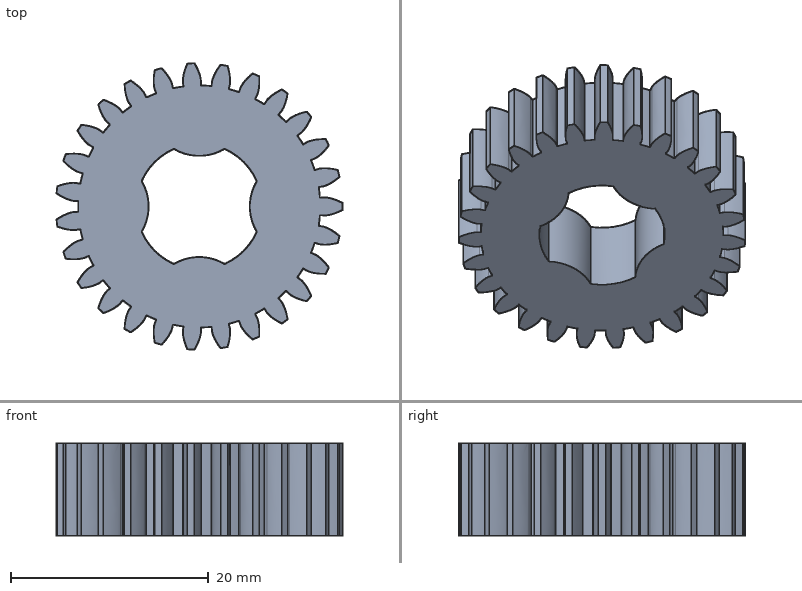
import cadquery as cq
import math

tooth_count = 27
pressure_angle = math.radians(20)
addendum_in_modules = 1.0
dedendum_in_modules = 1.25
flank_point_count = 8

overall_length = 28.98
face_width = 9.4

bore_radius = 6.35
key_count = 4
key_tip_distance = 5.1
key_nose_radius = 4.98


def involute(angle):
    return math.tan(angle) - angle


tooth_pitch_angle = 2 * math.pi / tooth_count
base_half_angle = tooth_pitch_angle / 4 + involute(pressure_angle)
base_to_tip_ratio = tooth_count * math.cos(pressure_angle) / (tooth_count + 2 * addendum_in_modules)
tip_half_angle = base_half_angle - involute(math.acos(base_to_tip_ratio))

tip_corner_offset = tooth_pitch_angle / 4 - tip_half_angle
tip_radius = overall_length / 2 / math.cos(tip_corner_offset)
module = 2 * tip_radius / (tooth_count + 2 * addendum_in_modules)
root_radius = module * (tooth_count / 2 - dedendum_in_modules)
base_radius = tip_radius * base_to_tip_ratio


def polar(radius, angle):
    return (radius * math.cos(angle), radius * math.sin(angle))


def flank_points(tooth_angle, side):
    """Involute from base circle to tip; side is -1 for the clockwise flank, 1 for the other."""
    points = []
    for i in range(flank_point_count):
        radius = base_radius + (tip_radius - base_radius) * i / (flank_point_count - 1)
        half_angle = base_half_angle - involute(math.acos(min(1.0, base_radius / radius)))
        points.append(polar(radius, tooth_angle + side * half_angle))
    return points


def gear_blank():
    """Solid gear with one tooth centred on +X; flanks run radially below the base circle."""
    outline = cq.Workplane("XY").moveTo(*polar(root_radius, -base_half_angle))
    for i in range(tooth_count):
        tooth_angle = i * tooth_pitch_angle
        rising_flank = flank_points(tooth_angle, -1)
        falling_flank = flank_points(tooth_angle, 1)[::-1]
        next_tooth_start = tooth_angle + tooth_pitch_angle - base_half_angle
        outline = (
            outline.lineTo(*rising_flank[0])
            .spline(rising_flank[1:], includeCurrent=True)
            .threePointArc(polar(tip_radius, tooth_angle), falling_flank[0])
            .spline(falling_flank[1:], includeCurrent=True)
            .lineTo(*polar(root_radius, tooth_angle + base_half_angle))
            .threePointArc(
                polar(root_radius, tooth_angle + tooth_pitch_angle / 2),
                polar(root_radius, next_tooth_start),
            )
        )
    return outline.close().extrude(face_width)


def keyed_bore():
    """Cutter for the bore, with the four keys left standing in the gear."""
    bore = cq.Workplane("XY").circle(bore_radius).extrude(face_width)
    key_noses = (
        cq.Workplane("XY")
        .polarArray(key_tip_distance + key_nose_radius, 0, 360, key_count)
        .circle(key_nose_radius)
        .extrude(face_width)
    )
    return bore.cut(key_noses)


result = gear_blank().cut(keyed_bore())